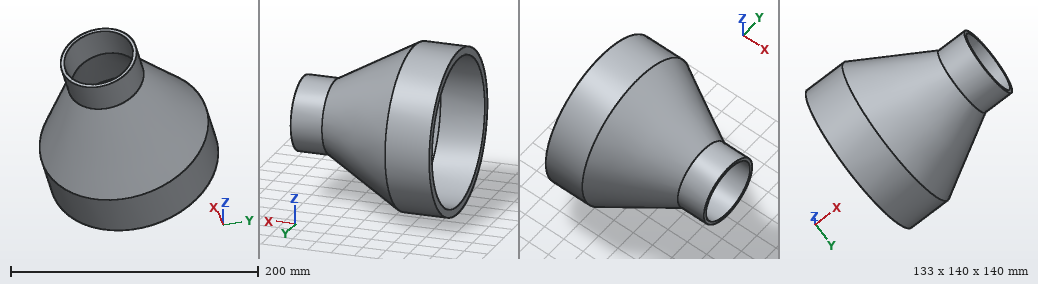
import cadquery as cq

total_length = 133.0
wide_length = 38.0
narrow_length = 27.0
wide_outer_diameter = 140.0
wide_bore_diameter = 126.5
narrow_outer_diameter = 63.0
narrow_bore_diameter = 57.0

narrow_start = total_length - narrow_length


def reducer_body(wide_diameter, narrow_diameter):
    """Solid of revolution: wide cylinder, cone, narrow cylinder."""
    wide_radius = wide_diameter / 2
    narrow_radius = narrow_diameter / 2
    return (
        cq.Workplane("XY")
        .moveTo(0, 0)
        .lineTo(0, wide_radius)
        .lineTo(wide_length, wide_radius)
        .lineTo(narrow_start, narrow_radius)
        .lineTo(total_length, narrow_radius)
        .lineTo(total_length, 0)
        .close()
        .revolve(360, (0, 0, 0), (1, 0, 0))
    )


outer_body = reducer_body(wide_outer_diameter, narrow_outer_diameter)
bore = reducer_body(wide_bore_diameter, narrow_bore_diameter)
result = outer_body.cut(bore)